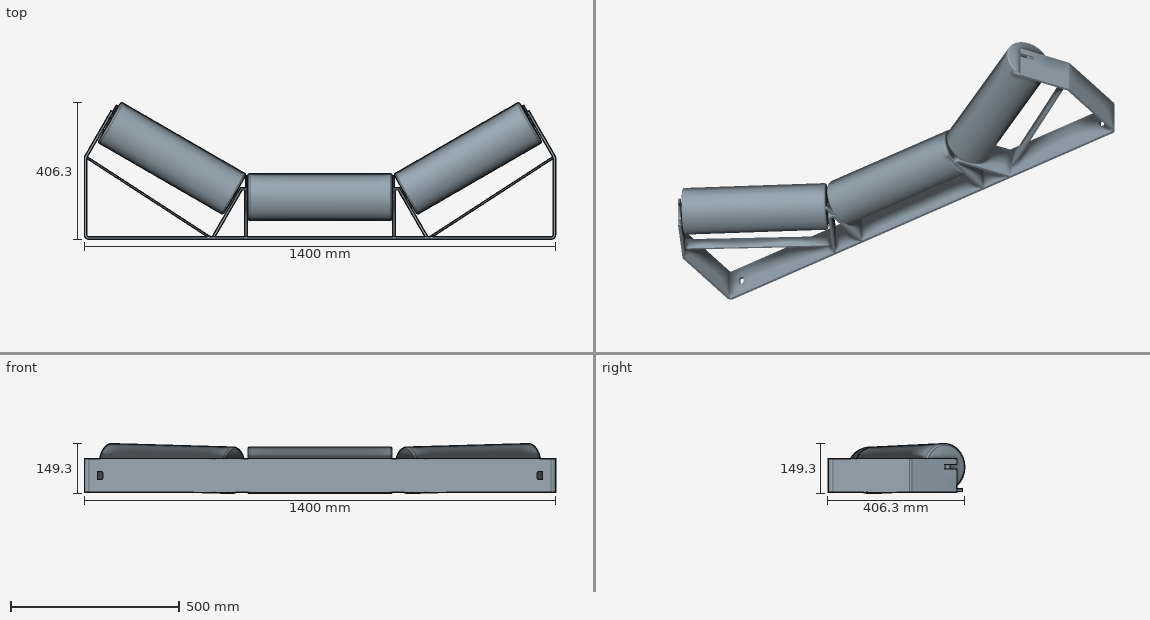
import cadquery as cq
import math

FRAME_LENGTH = 1400.0
BAR_HEIGHT = 101.0
BAR_THICKNESS = 8.0
BEND_RADIUS = 14.0
BEND_Y = 245.0
END_PLATE_Y = 382.0

HOLE_X = 652.0
HOLE_WIDTH = 17.0
HOLE_HEIGHT = 25.0
HOLE_RADIUS = 8.0

ROLLER_DIAMETER = 139.0
ROLLER_LENGTH = 428.0
RIM_RADIUS = 5.0
SHAFT_LENGTH = 448.0
SHAFT_WIDTH = 20.0
SHAFT_THICKNESS = 14.0
ROLLER_Y = 126.0
ROLLER_Z = 66.0
WING_X = 440.0
WING_Y = 241.0
WING_ANGLE = 30.0
WING_TILT = 1.4
WING_Z = ROLLER_Z + ROLLER_LENGTH / 2 * math.sin(math.radians(WING_TILT))

LEG_X = 215.0
FOOT_X = 320.0
BRIDGE_Y = 154.0
BRIDGE_RADIUS = 4.0

TOE_THICKNESS = 5.0
TOE_BOTTOM = 3.0
TOE_HEIGHT = 8.0
END_TOE_LENGTH = 22.0
LEG_TOE_LENGTH = 36.0

BRACE_HEIGHT = 35.0
BRACE_THICKNESS = 5.0
BRACE_FOOT_X = 325.0

HALF_LENGTH = FRAME_LENGTH / 2
SLOPE = math.tan(math.radians(WING_ANGLE))
COS_WING = math.cos(math.radians(WING_ANGLE))
SIN_WING = math.sin(math.radians(WING_ANGLE))
SLOT_RUN = 140.0
SLOT_DEPTH = 28.0
PICK = 0.7


def mirrored(body):
    return body.mirror("YZ")


def round_bend(body, corner, radius):
    """Round the upright edge that stands at the corner (x, y)."""
    x, y = corner
    box = cq.selectors.BoxSelector((x - PICK, y - PICK, 0), (x + PICK, y + PICK, BAR_HEIGHT))
    return body.edges(box).fillet(radius)


def at_wing(body):
    """Move a body built about the X axis onto the axis of the +X wing roller."""
    tilted = body.rotate((0, 0, 0), (0, 1, 0), -WING_TILT)
    turned = tilted.rotate((0, 0, 0), (0, 0, 1), WING_ANGLE)
    return turned.translate((WING_X, WING_Y, WING_Z))


def roller():
    """Drum with rounded rims on a flat shaft, along X and centred on the origin."""
    drum = (
        cq.Workplane("YZ", origin=(-ROLLER_LENGTH / 2, 0, 0))
        .circle(ROLLER_DIAMETER / 2)
        .extrude(ROLLER_LENGTH)
        .edges("%CIRCLE")
        .fillet(RIM_RADIUS)
    )
    shaft = cq.Workplane("XY").box(SHAFT_LENGTH, SHAFT_WIDTH, SHAFT_THICKNESS)
    return drum.union(shaft)


def shaft_slot(end):
    """Slot for one shaft end (+1 or -1) of a roller on the origin, open towards +Y."""
    slot = cq.Workplane("XY").box(SLOT_DEPTH, SLOT_RUN, SHAFT_THICKNESS)
    return slot.translate((end * SHAFT_LENGTH / 2, (SLOT_RUN - SHAFT_WIDTH) / 2, 0))


def shaft_window(end):
    """Closed opening that fits one shaft end (+1 or -1) of a roller on the origin."""
    window = cq.Workplane("XY").box(SLOT_DEPTH, SHAFT_WIDTH, SHAFT_THICKNESS)
    return window.translate((end * SHAFT_LENGTH / 2, 0, 0))


def toe(length):
    """Low strip along +Y from the origin, with its +X face on X = 0."""
    strip = cq.Workplane("XY").box(TOE_THICKNESS, length, TOE_HEIGHT, centered=False)
    return strip.translate((-TOE_THICKNESS, 0, TOE_BOTTOM))


def half_frame():
    """The +X half of the frame."""
    t = BAR_THICKNESS
    end_x = HALF_LENGTH - (END_PLATE_Y - BEND_Y) * SLOPE
    inner_end = (end_x - t * COS_WING, END_PLATE_Y - t * SIN_WING)
    outer_corner = (HALF_LENGTH, 0)
    inner_corner = (HALF_LENGTH - t, t)
    outer_bend = (HALF_LENGTH, BEND_Y)
    inner_bend = (HALF_LENGTH - t, BEND_Y - t * math.tan(math.radians(WING_ANGLE / 2)))
    outline = [
        (0, 0), outer_corner, outer_bend, (end_x, END_PLATE_Y),
        inner_end, inner_bend, inner_corner, (0, t),
    ]
    bar = cq.Workplane("XY").polyline(outline).close().extrude(BAR_HEIGHT)
    for corner in (outer_corner, outer_bend):
        bar = round_bend(bar, corner, BEND_RADIUS)
    for corner in (inner_corner, inner_bend):
        bar = round_bend(bar, corner, BEND_RADIUS - t)

    hole = (
        cq.Workplane("XY")
        .box(HOLE_WIDTH, 3 * t, HOLE_HEIGHT)
        .edges("|Y and <X")
        .fillet(HOLE_RADIUS)
        .translate((HOLE_X, 0, BAR_HEIGHT / 2))
    )
    end_toe = (
        toe(END_TOE_LENGTH + t)
        .translate((TOE_THICKNESS / 2, -t, 0))
        .rotate((0, 0, 0), (0, 0, 1), WING_ANGLE)
        .translate((*inner_end, 0))
    )
    return bar.cut(hole).cut(at_wing(shaft_slot(1))).union(end_toe)


def frame():
    half = half_frame()
    return half.union(mirrored(half))


def bracket():
    """The bracket on the +X side."""
    t = BAR_THICKNESS
    foot_inner_x = FOOT_X - t / COS_WING
    bridge_inner_y = BRIDGE_Y - t
    leg_top = (LEG_X, BRIDGE_Y)
    slope_top = (FOOT_X - (BRIDGE_Y - t) * SLOPE, BRIDGE_Y)
    outline = [
        (LEG_X, t), leg_top, slope_top, (FOOT_X, t), (foot_inner_x, t),
        (foot_inner_x - (bridge_inner_y - t) * SLOPE, bridge_inner_y),
        (LEG_X + t, bridge_inner_y), (LEG_X + t, t),
    ]
    body = cq.Workplane("XY").polyline(outline).close().extrude(BAR_HEIGHT)
    for corner in (leg_top, slope_top):
        body = round_bend(body, corner, BRIDGE_RADIUS)
    leg_toe = toe(LEG_TOE_LENGTH + t).translate((LEG_X + TOE_THICKNESS, bridge_inner_y, 0))
    leg_window = shaft_window(1).translate((0, ROLLER_Y, ROLLER_Z))
    return body.cut(leg_window).cut(at_wing(shaft_window(-1))).union(leg_toe)


def brace():
    """The +X brace; its upper end is trimmed to the inside of the frame."""
    foot = (BRACE_FOOT_X, BAR_THICKNESS)
    head = (HALF_LENGTH - BAR_THICKNESS / 2, BEND_Y + BAR_THICKNESS / 2)
    angle = math.atan2(head[1] - foot[1], head[0] - foot[0])
    outline = [
        foot, head,
        (head[0], head[1] - BRACE_THICKNESS / math.cos(angle)),
        (foot[0] + BRACE_THICKNESS / math.sin(angle), foot[1]),
    ]
    bar = (
        cq.Workplane("XY", origin=(0, 0, (BAR_HEIGHT - BRACE_HEIGHT) / 2))
        .polyline(outline)
        .close()
        .extrude(BRACE_HEIGHT)
    )
    return bar.cut(half_frame())


bodies = [frame(), roller().translate((0, ROLLER_Y, ROLLER_Z))]
for side_body in (at_wing(roller()), bracket(), brace()):
    bodies += [side_body, mirrored(side_body)]

result = cq.Compound.makeCompound([solid for body in bodies for solid in body.vals()])